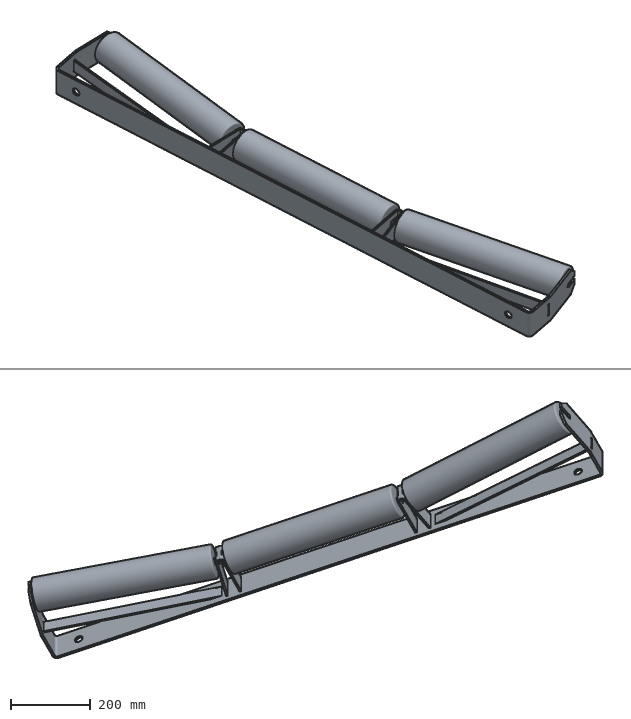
import cadquery as cq
import math

FRAME_LENGTH = 1510.0
OVERALL_DEPTH = 226.0
FRAME_WIDTH = 80.0
TILT = 10.0

FRAME_PLATE = 6.0
CORNER_RADIUS = 12.0
LEAN_START_Y = 86.0
LEAN_RADIUS = 25.0
END_PLATE_TOP_Y = 215.0
END_PLATE_CHAMFER = 21.0
MOUNT_HOLE_DIAMETER = 21.0
MOUNT_HOLE_X = 685.0

ROLLER_DIAMETER = 89.0
ROLLER_LENGTH = 465.0
ROLLER_EDGE_RADIUS = 5.0
AXLE_DEPTH = 20.0
AXLE_WIDTH = 12.0
AXLE_OVERHANG = 10.0
MIDDLE_ROLLER_Y = 100.0
OUTER_ROLLER_X = 498.0

BRACKET_PLATE = 5.0
BRACKET_TOP_Y = 124.0
BRACKET_BEND_RADIUS = 8.0
BRACKET_WIDTH = 53.0
UPRIGHT_FACE_X = 239.0
LEANING_FOOT_X = 281.0

STRUT_PLATE = 5.0
STRUT_WIDTH = 36.0
STRUT_HIGH_Y = 80.0
STRUT_TIP_X = 293.0

SIDES = (-1, 1)
HALF_LENGTH = FRAME_LENGTH / 2
ROLLER_RADIUS = ROLLER_DIAMETER / 2
TILT_ANGLE = math.radians(TILT)
AXLE_LENGTH = ROLLER_LENGTH + 2 * AXLE_OVERHANG
NOTCH_REACH = END_PLATE_TOP_Y / 2

RIM_CENTRE_RISE = (
    (ROLLER_LENGTH / 2 - ROLLER_EDGE_RADIUS) * math.sin(TILT_ANGLE)
    + (ROLLER_RADIUS - ROLLER_EDGE_RADIUS) * math.cos(TILT_ANGLE)
)
OUTER_ROLLER_Y = OVERALL_DEPTH - ROLLER_EDGE_RADIUS - RIM_CENTRE_RISE

ROLLER_PLACES = [
    (-OUTER_ROLLER_X, OUTER_ROLLER_Y, -TILT),
    (0, MIDDLE_ROLLER_Y, 0),
    (OUTER_ROLLER_X, OUTER_ROLLER_Y, TILT),
]


def strip(points, width):
    """Closed X-Y outline extruded along Z, centred on Z = 0."""
    return cq.Workplane("XY").workplane(offset=-width / 2).polyline(points).close().extrude(width)


def mirrored(points):
    """Outline points reflected across X = 0, in the opposite order."""
    return [(-x, y) for x, y in reversed(points)]


def fillet_bends(body, points, radius):
    """Round the edges along Z at the given outline points and at their mirror points."""
    for x, y in points + mirrored(points):
        body = body.edges(cq.selectors.NearestToPointSelector((x, y, 0))).fillet(radius)
    return body


def axle():
    section = cq.Workplane("YZ").workplane(offset=-AXLE_LENGTH / 2).slot2D(AXLE_DEPTH, AXLE_WIDTH)
    return section.extrude(AXLE_LENGTH)


def roller(x, y, angle):
    drum = (
        cq.Workplane("YZ")
        .workplane(offset=-ROLLER_LENGTH / 2)
        .circle(ROLLER_RADIUS)
        .extrude(ROLLER_LENGTH)
        .edges("%CIRCLE")
        .fillet(ROLLER_EDGE_RADIUS)
    )
    body = drum.union(axle())
    return body.rotate((0, 0, 0), (0, 0, 1), angle).translate((x, y, 0))


def axle_notch(x, y, angle):
    """Axle section carried upward, the shape of the open notches that hold it."""
    channel = cq.Workplane("XY").box(AXLE_LENGTH, NOTCH_REACH, AXLE_WIDTH)
    cutter = axle().union(channel.translate((0, NOTCH_REACH / 2, 0)))
    return cutter.rotate((0, 0, 0), (0, 0, 1), angle).translate((x, y, 0))


def cut_axle_notches(body):
    for place in ROLLER_PLACES:
        body = body.cut(axle_notch(*place))
    return body


def strut(side):
    """Sloping bar with a wedge foot on the base plate and its head in the end plate."""
    slope = (STRUT_HIGH_Y - FRAME_PLATE) / (HALF_LENGTH - STRUT_TIP_X)
    drop = STRUT_PLATE * math.hypot(1, slope)
    outline = [
        (HALF_LENGTH, STRUT_HIGH_Y),
        (STRUT_TIP_X, FRAME_PLATE),
        (STRUT_TIP_X + drop / slope, FRAME_PLATE),
        (HALF_LENGTH, STRUT_HIGH_Y - drop),
    ]
    return strip([(side * x, y) for x, y in outline], STRUT_WIDTH)


def bent_frame_plate():
    top_x = HALF_LENGTH - (END_PLATE_TOP_Y - LEAN_START_Y) * math.tan(TILT_ANGLE)
    outer_corner = (HALF_LENGTH, 0)
    outer_lean = (HALF_LENGTH, LEAN_START_Y)
    outer_top = (top_x, END_PLATE_TOP_Y)
    inner_top = (
        top_x - FRAME_PLATE * math.cos(TILT_ANGLE),
        END_PLATE_TOP_Y - FRAME_PLATE * math.sin(TILT_ANGLE),
    )
    inner_lean = (HALF_LENGTH - FRAME_PLATE, LEAN_START_Y - FRAME_PLATE * math.tan(TILT_ANGLE / 2))
    inner_corner = (HALF_LENGTH - FRAME_PLATE, FRAME_PLATE)

    half = [outer_corner, outer_lean, outer_top, inner_top, inner_lean, inner_corner]
    body = strip(half + mirrored(half), FRAME_WIDTH)
    body = fillet_bends(body, [outer_corner], CORNER_RADIUS)
    body = fillet_bends(body, [inner_corner], CORNER_RADIUS - FRAME_PLATE)
    body = fillet_bends(body, [outer_lean], LEAN_RADIUS)
    return fillet_bends(body, [inner_lean], LEAN_RADIUS - FRAME_PLATE)


def frame():
    corner_envelope = (
        cq.Workplane("XY")
        .box(FRAME_LENGTH, END_PLATE_TOP_Y, FRAME_WIDTH)
        .edges("|X and >Y")
        .chamfer(END_PLATE_CHAMFER)
        .translate((0, END_PLATE_TOP_Y / 2, 0))
    )
    mount_holes = (
        cq.Workplane("XZ")
        .pushPoints([(side * MOUNT_HOLE_X, 0) for side in SIDES])
        .circle(MOUNT_HOLE_DIAMETER / 2)
        .extrude(-FRAME_PLATE)
    )
    body = bent_frame_plate().intersect(corner_envelope).cut(mount_holes)
    for side in SIDES:
        body = body.cut(strut(side))
    return cut_axle_notches(body)


def bracket(side):
    lean = math.tan(TILT_ANGLE)
    leaning_across = BRACKET_PLATE / math.cos(TILT_ANGLE)
    under_y = BRACKET_TOP_Y - BRACKET_PLATE
    leaning_inner_x = LEANING_FOOT_X - leaning_across
    upright_inner_x = UPRIGHT_FACE_X + BRACKET_PLATE
    outline = [
        (UPRIGHT_FACE_X, FRAME_PLATE),
        (UPRIGHT_FACE_X, BRACKET_TOP_Y),
        (LEANING_FOOT_X - (BRACKET_TOP_Y - FRAME_PLATE) * lean, BRACKET_TOP_Y),
        (LEANING_FOOT_X, FRAME_PLATE),
        (leaning_inner_x, FRAME_PLATE),
        (leaning_inner_x - (under_y - FRAME_PLATE) * lean, under_y),
        (upright_inner_x, under_y),
        (upright_inner_x, FRAME_PLATE),
    ]
    body = strip([(side * x, y) for x, y in outline], BRACKET_WIDTH)
    body = body.edges("|Z and >Y").fillet(BRACKET_BEND_RADIUS)
    return cut_axle_notches(body)


brackets = [bracket(side) for side in SIDES]
struts = [strut(side) for side in SIDES]
rollers = [roller(*place) for place in ROLLER_PLACES]

bodies = [frame()] + brackets + struts + rollers
result = cq.Compound.makeCompound([body.solids().val() for body in bodies])